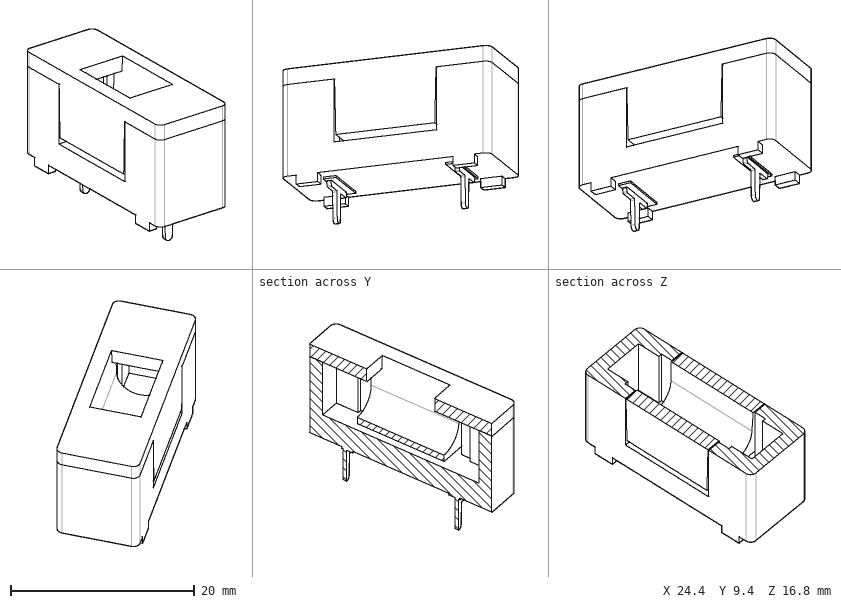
import cadquery as cq

LENGTH = 24.4
WIDTH = 9.4
CORNER_RADIUS = 0.75
BASE_HEIGHT = 10.52
LID_THICKNESS = 1.8
LID_TOP = BASE_HEIGHT + LID_THICKNESS

SLOT_HALF_LENGTH = 6.0
SLOT_FLOOR = 3.3

CARRIER_TOP_HALF_LENGTH = 5.93
CARRIER_BOTTOM_HALF_LENGTH = 5.78
CARRIER_BOTTOM = SLOT_FLOOR + 0.83

WINDOW_LENGTH = 9.05
WINDOW_WIDTH = 5.8
CHANNEL_RADIUS = 2.68
CHANNEL_AXIS = LID_TOP - 4.59

TERMINAL_OFFSET = 7.5
PAD_LENGTH = 1.5
PAD_WIDTH = 6.0
PAD_THICKNESS = 0.22
PAD_OUTER_X = 7.9
PAD_CENTRE_X = PAD_OUTER_X - PAD_LENGTH / 2
BLADE_THICKNESS = 0.51
BLADE_LENGTH = 4.5
SHOULDER_TOP_WIDTH = 4.88
SHOULDER_BOTTOM_WIDTH = 4.5
SHOULDER_BOTTOM = -0.9
STEM_TOP_WIDTH = 1.15
STEM_TIP_RADIUS = 0.5
SHOULDER_FILLET = 0.15

FOOT_LENGTH = 2.51
FOOT_WIDTH = 1.0
FOOT_HEIGHT = 1.02
FOOT_CENTRE_X = PAD_OUTER_X + FOOT_LENGTH / 2
FOOT_CENTRE_Y = (WIDTH - FOOT_WIDTH) / 2

CAVITY_WIDE_WIDTH = PAD_WIDTH
CAVITY_NARROW_WIDTH = 5.08
CAVITY_STEP_X = TERMINAL_OFFSET
CAVITY_END_X = PAD_OUTER_X + FOOT_LENGTH


def box_between(length, width, bottom, top):
    """Box centred on the Z axis, from the bottom level to the top level."""
    return cq.Workplane("XY").workplane(offset=bottom).rect(length, width).extrude(top - bottom)


def rounded_block(bottom, top):
    """Full-size block with rounded vertical corners."""
    return box_between(LENGTH, WIDTH, bottom, top).edges("|Z").fillet(CORNER_RADIUS)


def fuse_channel(length):
    """Channel with sloping walls and a half-round bottom, open at the lid top."""
    return (
        cq.Workplane("YZ")
        .moveTo(-WINDOW_WIDTH / 2, LID_TOP)
        .lineTo(-CHANNEL_RADIUS, CHANNEL_AXIS)
        .threePointArc((0, CHANNEL_AXIS - CHANNEL_RADIUS), (CHANNEL_RADIUS, CHANNEL_AXIS))
        .lineTo(WINDOW_WIDTH / 2, LID_TOP)
        .close()
        .extrude(length / 2, both=True)
    )


def carrier():
    """Tapered block below the lid, with the fuse channel open at both ends."""
    block = (
        cq.Workplane("XZ")
        .moveTo(-CARRIER_TOP_HALF_LENGTH, BASE_HEIGHT)
        .lineTo(CARRIER_TOP_HALF_LENGTH, BASE_HEIGHT)
        .lineTo(CARRIER_BOTTOM_HALF_LENGTH, CARRIER_BOTTOM)
        .lineTo(-CARRIER_BOTTOM_HALF_LENGTH, CARRIER_BOTTOM)
        .close()
        .extrude(WIDTH / 2, both=True)
    )
    return block.cut(fuse_channel(2 * CARRIER_TOP_HALF_LENGTH))


def make_cover():
    """Lid with a window, carrying the fuse carrier."""
    lid = rounded_block(BASE_HEIGHT, LID_TOP).cut(fuse_channel(WINDOW_LENGTH))
    return lid.union(carrier())


def cavities():
    """Stepped pockets in both ends of the base, open to the slot and the top."""
    wide = box_between(2 * CAVITY_STEP_X, CAVITY_WIDE_WIDTH, SLOT_FLOOR, BASE_HEIGHT)
    narrow = box_between(2 * CAVITY_END_X, CAVITY_NARROW_WIDTH, SLOT_FLOOR, BASE_HEIGHT)
    return wide.union(narrow)


def terminal_blade(centre_x):
    """Flat blade with a tapered, round-cornered shoulder and a slender, round-tipped stem."""
    tip_centre = STEM_TIP_RADIUS - BLADE_LENGTH
    blade = (
        cq.Workplane("YZ", origin=(centre_x, 0, 0))
        .moveTo(-SHOULDER_TOP_WIDTH / 2, -PAD_THICKNESS)
        .lineTo(-SHOULDER_BOTTOM_WIDTH / 2, SHOULDER_BOTTOM)
        .lineTo(-STEM_TOP_WIDTH / 2, SHOULDER_BOTTOM)
        .lineTo(-STEM_TIP_RADIUS, tip_centre)
        .threePointArc((0, -BLADE_LENGTH), (STEM_TIP_RADIUS, tip_centre))
        .lineTo(STEM_TOP_WIDTH / 2, SHOULDER_BOTTOM)
        .lineTo(SHOULDER_BOTTOM_WIDTH / 2, SHOULDER_BOTTOM)
        .lineTo(SHOULDER_TOP_WIDTH / 2, -PAD_THICKNESS)
        .close()
        .extrude(BLADE_THICKNESS / 2, both=True)
    )
    shoulder_zone = cq.selectors.BoxSelector(
        (centre_x - BLADE_THICKNESS, -SHOULDER_TOP_WIDTH, 2 * SHOULDER_BOTTOM),
        (centre_x + BLADE_THICKNESS, SHOULDER_TOP_WIDTH, 0),
    )
    return blade.edges(shoulder_zone).edges("|X").fillet(SHOULDER_FILLET)


def terminal_pad(centre_x):
    """Thin plate on the underside of the base."""
    return box_between(PAD_LENGTH, PAD_WIDTH, -PAD_THICKNESS, 0).translate((centre_x, 0, 0))


def foot(centre_x, centre_y):
    """Rectangular foot flush with a long side of the base."""
    return box_between(FOOT_LENGTH, FOOT_WIDTH, -FOOT_HEIGHT, 0).translate((centre_x, centre_y, 0))


def make_base():
    """Slotted housing with its feet and terminals."""
    base = rounded_block(0, BASE_HEIGHT)
    base = base.cut(box_between(2 * SLOT_HALF_LENGTH, WIDTH, SLOT_FLOOR, BASE_HEIGHT))
    base = base.cut(cavities())
    for side in (-1, 1):
        base = base.union(terminal_pad(side * PAD_CENTRE_X))
        base = base.union(terminal_blade(side * TERMINAL_OFFSET))
        for edge in (-1, 1):
            base = base.union(foot(side * FOOT_CENTRE_X, edge * FOOT_CENTRE_Y))
    return base


cover = make_cover()
base = make_base()

result = cq.Compound.makeCompound([cover.val(), base.val()])